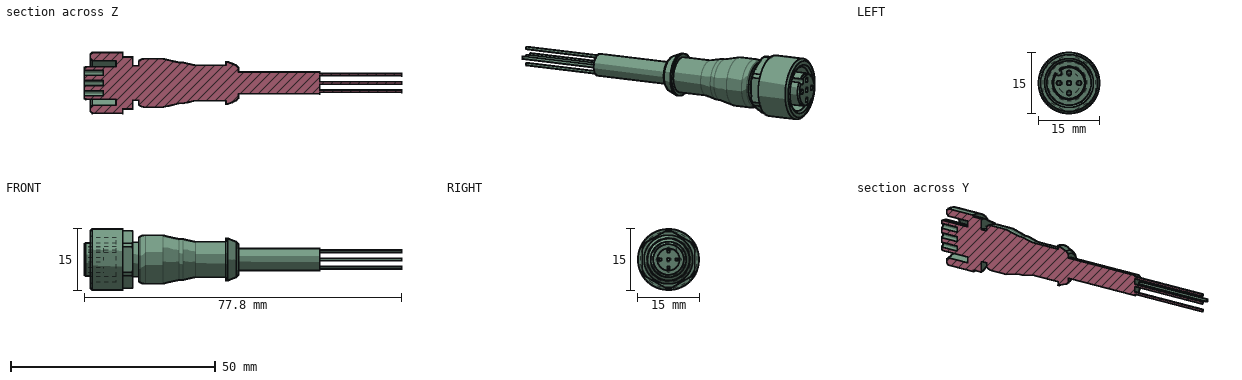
import cadquery as cq
import math


total_length = 77.8
nut_diameter = 15.0

insert_radius = 4.05
insert_chamfer_length = 0.5
insert_chamfer_height = 0.2
contact_radius = 0.58
contact_depth = 4.7
contact_spacing = 2.5
key_radius = 0.7
key_center_distance = 3.6
key_angle = 45.0

nut_front = 1.5
nut_back = 9.5
nut_chamfer = 0.55
bore_radius = 5.45
bore_end = 7.8
bore_chamfer = 0.55
hex_back = 12.0
hex_across_flats = 12.75
hex_corner_radius = 7.1
hex_chamfer = 0.2

neck_radius = 4.3

grip_front = 13.4
grip_nose_face_radius = 5.4
grip_nose_edge_length = 0.4
grip_nose_edge_radius = 5.7
grip_nose_length = 1.6
nose_rise_at_middle = 0.75
grip_radius = 6.0
grip_taper_start = 19.2
waist_start = 23.2
waist_end = 24.2
waist_radius = 5.05
sleeve_start = 27.2
sleeve_radius = 4.35

flange_front = 34.7
flange_rim_length = 0.5
flange_radius = 5.2
flange_shoulder = 37.3
flange_shoulder_radius = 4.35
flange_back = 37.8
flange_back_radius = 3.7

cable_end = 57.7
cable_radius = 2.7
wire_radius = 0.35
wire_spacing = 2.0
wire_embed = 0.8


def cylinder(x_start, x_end, radius, y=0.0, z=0.0):
    """Round bar along X, centred on (y, z)."""
    return cq.Workplane("YZ", origin=(x_start, y, z)).circle(radius).extrude(x_end - x_start)


def cross_positions(spacing):
    """Centre point plus four points around it, as (y, z) pairs."""
    return [(0, 0), (spacing, 0), (-spacing, 0), (0, spacing), (0, -spacing)]


def coupling_nut():
    """Round nut with an open front bore and a rounded hexagon behind it."""
    ring = cylinder(nut_front, nut_back, nut_diameter / 2).faces("<X").chamfer(nut_chamfer)
    bore = cylinder(nut_front, bore_end, bore_radius)
    bore_rim = cq.selectors.RadiusNthSelector(0)
    ring = ring.cut(bore).faces("<X").edges(bore_rim).chamfer(bore_chamfer)

    corner_diameter = hex_across_flats / math.cos(math.pi / 6)
    hexagon = (
        cq.Workplane("YZ", origin=(nut_back, 0, 0))
        .transformed(rotate=(0, 0, 90))
        .polygon(6, corner_diameter)
        .extrude(hex_back - nut_back)
    )
    corner_limit = cylinder(nut_back, hex_back, hex_corner_radius).faces(">X").chamfer(hex_chamfer)
    return ring.union(hexagon.intersect(corner_limit))


def contact_insert():
    """Round insert with five contact holes and a round key groove in its rim."""
    insert = cylinder(0, nut_back, insert_radius)
    insert = insert.faces("<X").chamfer(insert_chamfer_length, insert_chamfer_height)
    for y, z in cross_positions(contact_spacing):
        insert = insert.cut(cylinder(0, contact_depth, contact_radius, y, z))
    key_y = key_center_distance * math.cos(math.radians(key_angle))
    key_z = key_center_distance * math.sin(math.radians(key_angle))
    return insert.cut(cylinder(0, bore_end, key_radius, key_y, key_z))


def grip():
    """Turned grip: rounded nose, two tapers, a sleeve and a rear flange."""
    nose_edge_x = grip_front + grip_nose_edge_length
    nose_mid_x = grip_front + (grip_nose_edge_length + grip_nose_length) / 2
    nose_mid_radius = grip_nose_edge_radius + nose_rise_at_middle * (grip_radius - grip_nose_edge_radius)
    return (
        cq.Workplane("XY")
        .moveTo(grip_front, 0)
        .lineTo(grip_front, grip_nose_face_radius)
        .lineTo(nose_edge_x, grip_nose_edge_radius)
        .threePointArc((nose_mid_x, nose_mid_radius), (grip_front + grip_nose_length, grip_radius))
        .lineTo(grip_taper_start, grip_radius)
        .lineTo(waist_start, waist_radius)
        .lineTo(waist_end, waist_radius)
        .lineTo(sleeve_start, sleeve_radius)
        .lineTo(flange_front, sleeve_radius)
        .lineTo(flange_front, flange_radius)
        .lineTo(flange_front + flange_rim_length, flange_radius)
        .lineTo(flange_shoulder, flange_shoulder_radius)
        .lineTo(flange_back, flange_back_radius)
        .lineTo(flange_back, 0)
        .close()
        .revolve(360, (0, 0, 0), (1, 0, 0))
    )


def cable():
    """Round cable with five thin wires leaving its end."""
    body = cylinder(flange_back, cable_end, cable_radius)
    for y, z in cross_positions(wire_spacing):
        body = body.union(cylinder(cable_end - wire_embed, total_length, wire_radius, y, z))
    return body


neck = cylinder(hex_back, grip_front, neck_radius)
result = coupling_nut().union(contact_insert()).union(neck).union(grip()).union(cable())